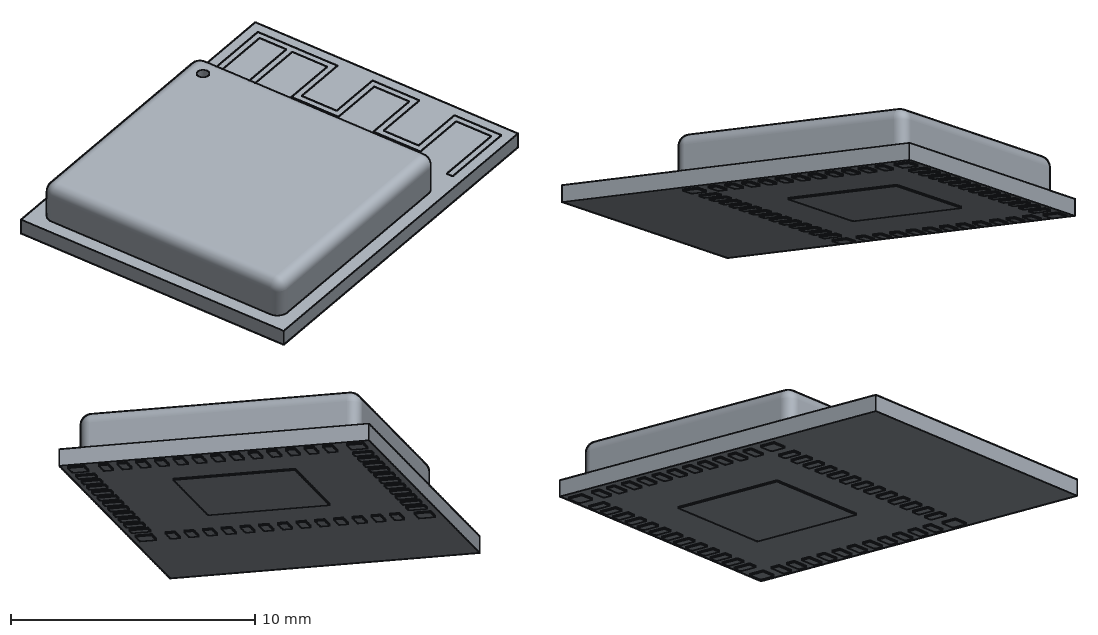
import cadquery as cq

BOARD_X = 13.2
BOARD_Y = 16.6
BOARD_THICKNESS = 0.71
BOARD_LEFT = -BOARD_X / 2
BOARD_BACK = BOARD_Y / 2
BOARD_FRONT = -BOARD_Y / 2

CAN_X = 11.99
CAN_Y = 11.0
CAN_HEIGHT = 1.73
CAN_FRONT_MARGIN = 0.61
CAN_RADIUS = 0.5
CAN_CENTRE_Y = BOARD_FRONT + CAN_FRONT_MARGIN + CAN_Y / 2
CAN_BACK = CAN_CENTRE_Y + CAN_Y / 2
CAN_TOP = BOARD_THICKNESS + CAN_HEIGHT

MARK_DIAMETER = 0.51
MARK_DEPTH = 0.5
MARK_INSET = 1.03

TRACK_WIDTH = 0.3
TRACK_HEIGHT = 0.02
TRACK_SIDE_MARGIN = 0.63
TRACK_BACK_MARGIN = 0.65
MEANDER_PITCH = 2.06
MEANDER_RUNS = 5
MEANDER_DEPTH = 2.54
GROUND_LEG_LENGTH = 4.63
FEED_OFFSET = 1.65
TAIL_LENGTH = 3.15
VIA_DIAMETER = 0.23
VIA_GAP = 0.08

PAD_HEIGHT = 0.07
PAD_PITCH = 0.8
PAD_LENGTH = 0.8
PAD_WIDTH = 0.4
CORNER_PAD = 0.7
THERMAL_PAD = 5.18
FRONT_ROW_COUNT = 13
SIDE_ROW_COUNT = 11
SIDE_ROW_X = 5.9
FRONT_ROW_Y = 5.0
PAD_CENTRE_Y = -2.69


def make_board():
    return cq.Workplane("XY").box(BOARD_X, BOARD_Y, BOARD_THICKNESS, centered=(True, True, False))


def make_can():
    can = (
        cq.Workplane("XY", origin=(0, CAN_CENTRE_Y, BOARD_THICKNESS))
        .box(CAN_X, CAN_Y, CAN_HEIGHT, centered=(True, True, False))
        .edges("|Z or >Z")
        .fillet(CAN_RADIUS)
    )
    mark_x = -CAN_X / 2 + MARK_INSET
    mark_y = CAN_BACK - MARK_INSET
    mark = (
        cq.Workplane("XY", origin=(mark_x, mark_y, CAN_TOP))
        .circle(MARK_DIAMETER / 2)
        .extrude(-MARK_DEPTH)
    )
    return can.cut(mark)


def track(start, end):
    """Straight track between two centreline points, with square ends half a width beyond each."""
    size_x = abs(end[0] - start[0]) + TRACK_WIDTH
    size_y = abs(end[1] - start[1]) + TRACK_WIDTH
    centre_x = (start[0] + end[0]) / 2
    centre_y = (start[1] + end[1]) / 2
    return (
        cq.Workplane("XY", origin=(centre_x, centre_y, BOARD_THICKNESS))
        .box(size_x, size_y, TRACK_HEIGHT, centered=(True, True, False))
    )


def make_antenna():
    left = BOARD_LEFT + TRACK_SIDE_MARGIN
    right = -left
    back = BOARD_BACK - TRACK_BACK_MARGIN
    leg_end = back - GROUND_LEG_LENGTH

    points = [(left, leg_end), (left, back)]
    y = back
    for run in range(MEANDER_RUNS):
        x = right - (MEANDER_RUNS - 1 - run) * MEANDER_PITCH
        points.append((x, y))
        if run < MEANDER_RUNS - 1:
            y = back - MEANDER_DEPTH if run % 2 == 0 else back
            points.append((x, y))
    points.append((right, back - TAIL_LENGTH))

    feed_x = left + FEED_OFFSET
    antenna = track((feed_x, back), (feed_x, CAN_BACK - TRACK_WIDTH))
    for start, end in zip(points, points[1:]):
        antenna = antenna.union(track(start, end))

    via_y = leg_end - TRACK_WIDTH / 2 - VIA_GAP - VIA_DIAMETER / 2
    via = (
        cq.Workplane("XY", origin=(left, via_y, BOARD_THICKNESS))
        .circle(VIA_DIAMETER / 2)
        .extrude(TRACK_HEIGHT)
    )
    return antenna.union(via)


def make_pads():
    def pads(size_x, size_y, points):
        return (
            cq.Workplane("XY", origin=(0, PAD_CENTRE_Y, 0))
            .pushPoints(points)
            .rect(size_x, size_y)
            .extrude(-PAD_HEIGHT)
        )

    def row_offsets(count):
        return [(i - (count - 1) / 2) * PAD_PITCH for i in range(count)]

    front_rows = [(x, side * FRONT_ROW_Y) for x in row_offsets(FRONT_ROW_COUNT) for side in (-1, 1)]
    side_rows = [(side * SIDE_ROW_X, y) for y in row_offsets(SIDE_ROW_COUNT) for side in (-1, 1)]

    corner_inset = (PAD_LENGTH - CORNER_PAD) / 2
    corner_x = SIDE_ROW_X + corner_inset
    corner_y = FRONT_ROW_Y + corner_inset
    corners = [(sx * corner_x, sy * corner_y) for sx in (-1, 1) for sy in (-1, 1)]

    return (
        pads(PAD_WIDTH, PAD_LENGTH, front_rows)
        .union(pads(PAD_LENGTH, PAD_WIDTH, side_rows))
        .union(pads(CORNER_PAD, CORNER_PAD, corners))
        .union(pads(THERMAL_PAD, THERMAL_PAD, [(0, 0)]))
    )


result = make_board().union(make_antenna()).union(make_can()).union(make_pads())